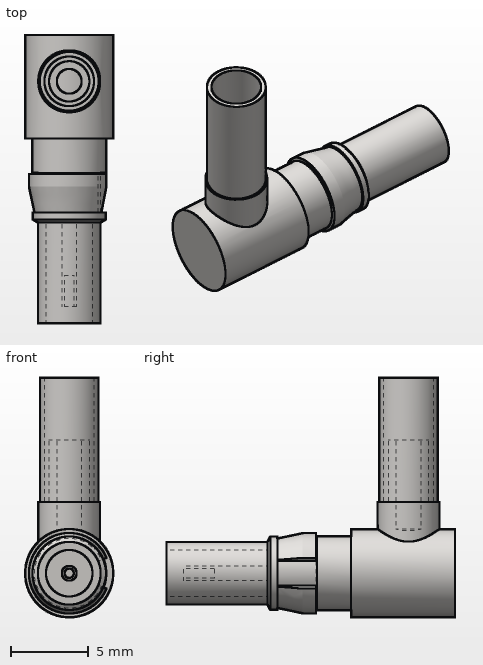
import cadquery as cq


body_dia = 5.7
shaft_dia = 4.8
ring_max_dia = 5.2
ring_min_dia = 4.5
flange_dia = 4.74
nose_dia = 4.05
nose_bore_dia = 3.0
contact_dia = 0.96
contact_hole_dia = 0.6

back_to_branch_axis = 3.0
body_length = 6.7
shaft_length = 2.2
ring_clearance = 0.06
ring_land_length = 0.84
ring_taper_length = 1.65
flange_length = 0.45
flange_chamfer_length = 0.2
nose_length = 6.5
contact_setback = 1.1
contact_hole_depth = 2.0

ring_gap_angle = 45.0

neck_dia = 4.0
neck_top_z = 4.6
ferrule_dia = 3.8
ferrule_bore_dia = 3.2
ferrule_length = 8.0
sleeve_dia = 2.6
sleeve_bore_dia = 1.6
sleeve_length = 4.0

back_y = back_to_branch_axis
body_end_y = back_y - body_length
shaft_end_y = body_end_y - shaft_length
ring_start_y = shaft_end_y - ring_clearance
ring_land_end_y = ring_start_y - ring_land_length
flange_start_y = ring_land_end_y - ring_taper_length
flange_chamfer_y = flange_start_y - flange_length
nose_start_y = flange_chamfer_y - flange_chamfer_length
nose_tip_y = nose_start_y - nose_length
contact_tip_y = nose_tip_y + contact_setback


def cylinder_y(diameter, start_y, end_y):
    """Cylinder on the Y axis from start_y towards -Y, down to end_y."""
    plane = cq.Workplane("XZ", origin=(0, start_y, 0))
    return plane.circle(diameter / 2).extrude(start_y - end_y)


def cylinder_z(diameter, bottom_z, top_z):
    """Cylinder on the Z axis between two heights."""
    plane = cq.Workplane("XY", origin=(0, 0, bottom_z))
    return plane.circle(diameter / 2).extrude(top_z - bottom_z)


def make_main_body():
    """Body, shaft, ring groove, chamfered flange and nose as one turned shape."""
    profile = [
        (0, back_y),
        (body_dia / 2, back_y),
        (body_dia / 2, body_end_y),
        (shaft_dia / 2, body_end_y),
        (shaft_dia / 2, shaft_end_y),
        (nose_dia / 2, shaft_end_y),
        (nose_dia / 2, flange_start_y),
        (flange_dia / 2, flange_start_y),
        (flange_dia / 2, flange_chamfer_y),
        (nose_dia / 2, nose_start_y),
        (nose_dia / 2, nose_tip_y),
        (0, nose_tip_y),
    ]
    return cq.Workplane("XY").polyline(profile).close().revolve(360, (0, 0, 0), (0, 1, 0))


def make_snap_ring():
    """Tapered C-ring seated in the groove, with its gap centred on +X."""
    profile = [
        (nose_dia / 2, ring_start_y),
        (ring_max_dia / 2, ring_start_y),
        (ring_max_dia / 2, ring_land_end_y),
        (ring_min_dia / 2, flange_start_y),
        (nose_dia / 2, flange_start_y),
    ]
    ring = cq.Workplane("XY").polyline(profile).close()
    ring = ring.revolve(360 - ring_gap_angle, (0, 0, 0), (0, 1, 0))
    return ring.rotate((0, 0, 0), (0, 1, 0), ring_gap_angle / 2)


def make_contact():
    """Hollow-tipped centre contact standing inside the nose bore."""
    contact = cylinder_y(contact_dia, nose_start_y, contact_tip_y)
    hole = cylinder_y(contact_hole_dia, contact_tip_y + contact_hole_depth, contact_tip_y)
    return contact.cut(hole)


def make_cable_branch():
    """Neck on the body, carrying the ferrule tube around a shorter inner sleeve."""
    neck = cylinder_z(neck_dia, 0, neck_top_z)
    ferrule = cylinder_z(ferrule_dia, neck_top_z, neck_top_z + ferrule_length)
    ferrule_bore = cylinder_z(ferrule_bore_dia, neck_top_z, neck_top_z + ferrule_length)
    sleeve_top_z = neck_top_z + sleeve_length
    sleeve = cylinder_z(sleeve_dia, neck_top_z, sleeve_top_z)
    sleeve_bore = cylinder_z(sleeve_bore_dia, 0, sleeve_top_z)
    return neck.union(ferrule.cut(ferrule_bore)).union(sleeve).cut(sleeve_bore)


nose_bore = cylinder_y(nose_bore_dia, nose_start_y, nose_tip_y)
main_body = make_main_body().cut(nose_bore)

result = main_body.union(make_snap_ring()).union(make_contact()).union(make_cable_branch())